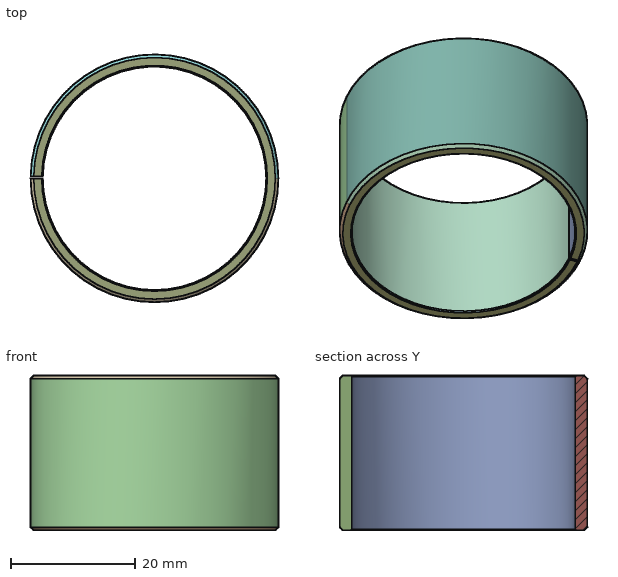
import cadquery as cq

outer_diameter = 40.0
wall = 2.0
length = 25.0
outer_chamfer_radial = 0.5
outer_chamfer_axial = 0.5
inner_chamfer = 0.2
slit_width = 0.3

outer_radius = outer_diameter / 2
inner_radius = outer_radius - wall
half_length = length / 2


def bushing_body():
    """Revolve the wall section, chamfered at all four corners."""
    section = (
        cq.Workplane("XZ")
        .moveTo(inner_radius + inner_chamfer, half_length)
        .lineTo(outer_radius - outer_chamfer_radial, half_length)
        .lineTo(outer_radius, half_length - outer_chamfer_axial)
        .lineTo(outer_radius, -half_length + outer_chamfer_axial)
        .lineTo(outer_radius - outer_chamfer_radial, -half_length)
        .lineTo(inner_radius + inner_chamfer, -half_length)
        .lineTo(inner_radius, -half_length + inner_chamfer)
        .lineTo(inner_radius, half_length - inner_chamfer)
        .close()
    )
    return section.revolve(360, (0, 0, 0), (0, 1, 0))


def slit_cutter():
    """Full-length slot through the wall on the -X side."""
    return cq.Workplane("XY").box(
        outer_radius, slit_width, length, centered=(False, False, True)
    ).translate((-outer_radius, 0, 0))


result = bushing_body().cut(slit_cutter())